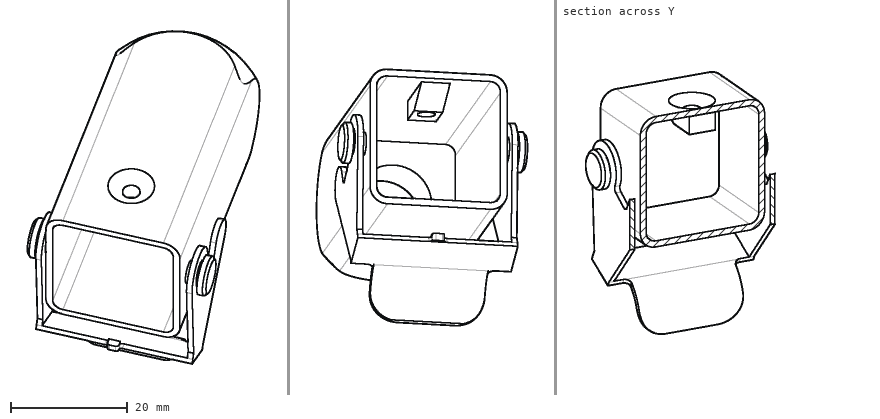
import cadquery as cq
import math


housing_width = 24.0
housing_length = 50.2
housing_corner_radius = 3.0
wall_thickness = 1.2
cavity_depth = 40.0
dome_radius = 16.0
dome_center_y = 37.2
cable_hole_diameter = 13.25

boss_width = 5.0
boss_height = 3.3
boss_front_y = 2.5
boss_ramp_angle = 26.5
boss_rear_y = 15.0
screw_y = 11.0
screw_diameter = 3.0
countersink_diameter = 8.0
countersink_angle = 120.0

pin_y = 5.25
pin_shaft_diameter = 4.0
pin_head_diameter = 7.0
pin_head_thickness = 1.5
pin_head_chamfer = 0.5
pin_end_x = 16.0

lever_width = 28.0
sheet_thickness = 1.0
base_thickness = 0.9
hub_radius = 4.65
pivot_hole_diameter = 4.5
hook_radius = 3.2
hook_y = 17.8
hook_z = -3.97
slot_angle = 60.0
notch_y = 13.45
notch_floor_length = 5.5
notch_fillet = 0.8
base_front_y = 0.65
base_front_z = -18.15
base_angle = 25.0
base_length = 6.75
front_edge_y = 1.57
front_edge_z = -16.36

tab_width = 20.0
tab_inner_radius = 8.5
tab_corner_radius = 5.0
tab_root_fillet = 1.2
tab_center_y = 1.8
tab_bottom_z = -29.93

nib_width = 2.1
nib_radius = 0.5
nib_tip_y = -0.29
nib_top_z = -16.9

half_width = housing_width / 2
pivot_z = (pivot_hole_diameter - pin_shaft_diameter) / 2


def point_at(start, angle, distance):
    """Point in the YZ plane at a distance from start, angle measured from +Y toward +Z."""
    turn = math.radians(angle)
    return (start[0] + distance * math.cos(turn), start[1] + distance * math.sin(turn))


def tangent_point(center, radius, point, side):
    """Point where a line from an outside point touches a circle; side is +1 or -1."""
    to_point = math.atan2(point[1] - center[1], point[0] - center[0])
    half_opening = math.acos(radius / math.dist(center, point))
    return point_at(center, math.degrees(to_point + side * half_opening), radius)


def square_tube(width, corner_radius, start_y, length):
    return (
        cq.Workplane("XZ", origin=(0, start_y, 0))
        .rect(width, width)
        .extrude(-length)
        .edges("|Y")
        .fillet(corner_radius)
    )


def make_screw_boss():
    top_z = half_width - wall_thickness
    bottom_z = top_z - boss_height
    ramp_end_y = boss_front_y + boss_height / math.tan(math.radians(boss_ramp_angle))
    return (
        cq.Workplane("YZ")
        .moveTo(boss_front_y, top_z)
        .lineTo(ramp_end_y, bottom_z)
        .lineTo(boss_rear_y, bottom_z)
        .lineTo(boss_rear_y, half_width - wall_thickness / 2)
        .lineTo(boss_front_y, half_width - wall_thickness / 2)
        .close()
        .extrude(boss_width / 2, both=True)
    )


def make_housing():
    shell = square_tube(housing_width, housing_corner_radius, 0, housing_length)
    dome = cq.Workplane("XY").sphere(dome_radius).translate((0, dome_center_y, 0))
    barrel = cq.Workplane("XZ").circle(housing_width).extrude(-dome_center_y)
    shell = shell.intersect(barrel.union(dome))
    cavity_corner_radius = housing_corner_radius - wall_thickness
    cavity_width = housing_width - 2 * wall_thickness
    shell = shell.cut(square_tube(cavity_width, cavity_corner_radius, 0, cavity_depth))
    cable_hole = cq.Workplane("XZ").circle(cable_hole_diameter / 2).extrude(-housing_length)
    shell = shell.cut(cable_hole).union(make_screw_boss())
    return (
        shell.faces(">Z")
        .workplane(origin=(0, screw_y, half_width))
        .cskHole(screw_diameter, countersink_diameter, countersink_angle, half_width)
    )


def make_pin(side):
    """Headed pin standing on a housing side; side is +1 or -1 along X."""
    head_start_x = pin_end_x - pin_head_thickness
    pin = (
        cq.Workplane("YZ", origin=(half_width, pin_y, 0))
        .circle(pin_shaft_diameter / 2)
        .extrude(head_start_x - half_width)
        .faces(">X")
        .workplane()
        .circle(pin_head_diameter / 2)
        .extrude(pin_head_thickness)
        .faces(">X")
        .edges()
        .chamfer(pin_head_chamfer)
    )
    return pin if side > 0 else pin.mirror("YZ")


base_front_bottom = (base_front_y, base_front_z)
base_rear_bottom = point_at(base_front_bottom, -base_angle, base_length)
base_front_top = point_at(base_front_bottom, 90 - base_angle, base_thickness)
base_rear_top = point_at(base_rear_bottom, 90 - base_angle, base_thickness)


def make_side_plate():
    """Side plate on the +X side of the lever, with its pivot hub, hook and notch."""
    hub = (pin_y, pivot_z)
    hook = (hook_y, hook_z)
    front_edge = (front_edge_y, front_edge_z)
    hub_side = tangent_point(hub, hub_radius, front_edge, -1)
    hook_rear = tangent_point(hook, hook_radius, base_rear_top, 1)
    hook_front = point_at(hook, 90 + slot_angle, hook_radius)
    notch_depth = (hook_front[0] - notch_y) / math.cos(math.radians(slot_angle))
    notch = point_at(hook_front, 180 + slot_angle, notch_depth)
    floor_end = point_at(notch, 90 + slot_angle, notch_floor_length)
    origin = (lever_width / 2 - sheet_thickness, 0, 0)
    plate = (
        cq.Workplane("YZ", origin=origin)
        .polyline(
            [
                hub, hub_side, front_edge, base_front_top, base_front_bottom, base_rear_bottom,
                base_rear_top, hook_rear, hook, hook_front, notch, floor_end,
            ]
        )
        .close()
        .extrude(sheet_thickness)
    )
    for center, radius in ((hub, hub_radius), (hook, hook_radius)):
        disc = cq.Workplane("YZ", origin=origin).center(*center).circle(radius)
        plate = plate.union(disc.extrude(sheet_thickness))
    hub_notch_z = (notch[1] + hub[1]) / 2
    notch_corners = cq.selectors.BoxSelector(
        (0, hub[0] + hub_radius / 2, notch[1] - notch_fillet),
        (lever_width, notch[0] + notch_fillet, hub_notch_z + notch_fillet),
    )
    return plate.edges("|X").edges(notch_corners).fillet(notch_fillet)


def make_flared_root(base_corner, outward, width, radius):
    """Block lying in the base plane whose sides flare out to meet an end face of the base.

    It starts at a lower corner of the base and runs rearward (outward = 1) or forward (outward = -1).
    """
    turn = math.radians(base_angle)
    base_plane = cq.Plane(
        origin=(0, *base_corner), xDir=(1, 0, 0), normal=(0, math.sin(turn), math.cos(turn))
    )
    half_root = width / 2 + radius
    root = cq.Workplane(base_plane).center(0, outward * radius / 2).rect(2 * half_root, radius)
    root = root.extrude(base_thickness)
    for side in (-1, 1):
        hollow = cq.Workplane(base_plane).center(side * half_root, outward * radius).circle(radius)
        root = root.cut(hollow.extrude(base_thickness))
    return root


def make_finger_tab():
    """Curled tab: a curved sheet leaving the base's rear face, trimmed to rounded corners."""
    outer_radius = tab_inner_radius + base_thickness
    rise = math.sqrt(tab_inner_radius**2 - (base_rear_bottom[0] - tab_center_y) ** 2)
    center = (tab_center_y, base_rear_bottom[1] - rise)
    end_angle = math.degrees(math.asin((tab_bottom_z - center[1]) / outer_radius))
    start_angle = math.degrees(math.atan2(rise, base_rear_bottom[0] - tab_center_y))
    mid_angle = (start_angle + end_angle) / 2
    curl = (
        cq.Workplane("YZ")
        .moveTo(*base_rear_bottom)
        .threePointArc(
            point_at(center, mid_angle, tab_inner_radius), point_at(center, end_angle, tab_inner_radius)
        )
        .lineTo(*point_at(center, end_angle, outer_radius))
        .threePointArc(point_at(center, mid_angle, outer_radius), base_rear_top)
        .close()
        .extrude(tab_width / 2 + tab_root_fillet, both=True)
    )
    outline = (
        cq.Workplane("XZ")
        .center(0, tab_bottom_z / 2)
        .rect(tab_width, -tab_bottom_z)
        .extrude(-housing_length)
        .edges("|Y and <Z")
        .fillet(tab_corner_radius)
    )
    root = make_flared_root(base_rear_bottom, 1, tab_width, tab_root_fillet)
    return curl.intersect(outline).union(curl.intersect(root))


def make_nib():
    """Level nib with rounded tip corners, flared where it leaves the lever base."""
    root_y = base_front_top[0]
    nib = (
        cq.Workplane("XY", origin=(0, 0, base_front_z))
        .moveTo(0, (nib_tip_y + root_y) / 2)
        .rect(nib_width, root_y - nib_tip_y)
        .extrude(nib_top_z - base_front_z)
        .edges("|Z and <Y")
        .fillet(nib_radius)
    )
    return nib.union(make_flared_root(base_front_bottom, -1, nib_width, nib_radius))


def make_lever():
    plate = make_side_plate()
    base = (
        cq.Workplane("YZ")
        .polyline([base_front_bottom, base_rear_bottom, base_rear_top, base_front_top])
        .close()
        .extrude(lever_width / 2, both=True)
    )
    lever = base.union(plate).union(plate.mirror("YZ")).union(make_finger_tab())
    pivot_hole = (
        cq.Workplane("YZ")
        .center(pin_y, pivot_z)
        .circle(pivot_hole_diameter / 2)
        .extrude(lever_width, both=True)
    )
    return lever.union(make_nib()).cut(pivot_hole)


housing = make_housing()
pins = [make_pin(side) for side in (-1, 1)]
lever = make_lever()

result = cq.Compound.makeCompound(
    [housing.solids().val(), *[pin.solids().val() for pin in pins], lever.solids().val()]
)